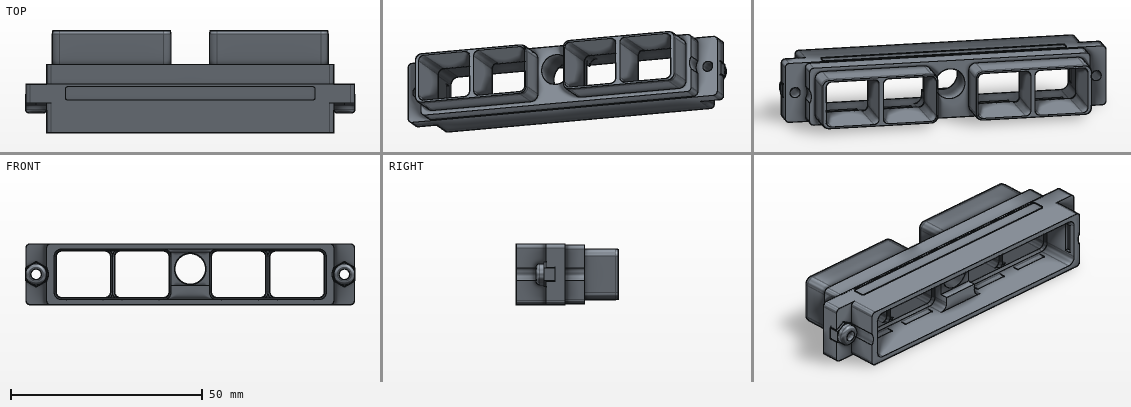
import math

import cadquery as cq

BODY_WIDTH = 75.0
BODY_HEIGHT = 15.93
BODY_FILLET = 1.1
REAR_BODY_HEIGHT = 15.4
FLANGE_WIDTH = 85.8
FLANGE_FRONT_Y = 7.8
FLANGE_BACK_Y = 12.76
REAR_BODY_BACK_Y = 17.9
BACK_Y = 26.69

CELL_PITCH = 15.27
CELL_HEIGHT = 12.1
CELL_RADIUS = 1.4
CELL_DRAFT = 0.12
LEAD_IN = 0.45
LEAD_IN_FRONT_Y = 10.2
LEAD_IN_BACK_Y = 11.1
DIVIDER_TAPER_LENGTH = 0.9
PAIR_INNER_X = 5.0
SLEEVE_INNER_X = 5.02
SLEEVE_OUTER_X = 36.05
SLEEVE_HEIGHT = 13.35
SLEEVE_RADIUS = 1.9
SLEEVE_TIP_LENGTH = 0.8
SLEEVE_TIP_TAPER = 0.15

CENTRE_BLOCK_FRONT_Y = 5.8
CENTRE_PLATE_FRONT_Y = 8.0
CENTRE_POCKET_BOTTOM_Z = -2.94
CENTRE_POCKET_TOP_Z = 5.8
CENTRE_HOLE_Z = 1.42
CENTRE_HOLE_FRONT_RADIUS = 4.12
CENTRE_HOLE_BACK_RADIUS = 4.0

RAMP_WIDTH = 9.6
RAMP_PITCH = 14.5
RAMP_FRONT_Y = 7.8
RAMP_BACK_Y = 9.5
RAMP_DEPTH = 0.35
END_SLOT_FRONT_Y = 1.6
END_SLOT_BACK_Y = 3.35
END_SLOT_HEIGHT = 8.2
END_SLOT_DEPTH = 0.95

LABEL_WIDTH = 65.2
LABEL_FRONT_Y = 8.6
LABEL_BACK_Y = 12.07
LABEL_RADIUS = 0.6
LABEL_DEPTH = 0.2

NUT_X = 40.25
NUT_ACROSS_FLATS = 5.5
NUT_POCKET_ACROSS_FLATS = 5.8
NUT_SEAT_Y = 10.1
NUT_HEX_FRONT_Y = 7.25
NUT_FRONT_Y = 5.2
NUT_COLLAR_RADIUS = 2.75
NUT_COLLAR_FILLET = 0.95
NUT_BORE_RADIUS = 1.35
DRIVER_GROOVE_RADIUS = 3.22

CELL_MARGIN = LEAD_IN + CELL_DRAFT
CELL_WIDTH = CELL_PITCH - 2 * CELL_MARGIN
CAVITY_HEIGHT = CELL_HEIGHT + 2 * CELL_MARGIN
CAVITY_RADIUS = CELL_RADIUS + CELL_MARGIN
PAIR_WIDTH = 2 * CELL_PITCH
PAIR_CENTRE_X = PAIR_INNER_X + CELL_PITCH
CAVITY_HALF_WIDTH = PAIR_INNER_X + PAIR_WIDTH
SIDES = (-1, 1)
PAIR_CENTRES = [side * PAIR_CENTRE_X for side in SIDES]


def centres_in_pairs(pitch):
    """X positions of two features per pair of cells, the given pitch apart."""
    return [pair_x + side * pitch / 2 for pair_x in PAIR_CENTRES for side in SIDES]


def xz_plane(y):
    """Sketch plane at the given Y, with X right, Z up and its normal towards -Y."""
    return cq.Workplane("XZ", origin=(0, y, 0))


def rounded_bar(x, width, height, radius, front_y, back_y):
    """Bar along Y, centred at X = x and Z = 0, with its four long edges rounded."""
    bar = xz_plane(front_y).center(x, 0).rect(width, height).extrude(front_y - back_y)
    return bar.edges("|Y").fillet(radius)


def box(x_limits, y_limits, z_limits):
    """Axis-aligned box between the given limits."""
    sizes = [high - low for low, high in (x_limits, y_limits, z_limits)]
    corner = (x_limits[0], y_limits[0], z_limits[0])
    return cq.Workplane("XY").box(*sizes, centered=False).translate(corner)


def cylinder(x, z, radius, front_y, back_y):
    """Cylinder along Y."""
    return xz_plane(front_y).center(x, z).circle(radius).extrude(front_y - back_y)


def hexagon(x, across_flats, front_y, back_y):
    """Hexagonal bar along Y with two corners pointing up and down."""
    diameter = across_flats / math.cos(math.pi / 6)
    bar = cq.Workplane("XY").polygon(6, diameter).extrude(back_y - front_y)
    bar = bar.rotate((0, 0, 0), (0, 0, 1), 90).rotate((0, 0, 0), (1, 0, 0), -90)
    return bar.translate((x, front_y, 0))


def tapered_bar(x, front_size, radius, inset, front_y, back_y):
    """Rounded bar along Y whose sides and corner radius shrink by the inset towards the back."""
    profile = cq.Sketch().rect(*front_size).vertices().fillet(radius)
    taper = math.degrees(math.atan2(inset, back_y - front_y))
    return xz_plane(front_y).center(x, 0).placeSketch(profile).extrude(front_y - back_y, taper=taper)


def sleeve(centre_x):
    """Rounded sleeve around one pair of cells, slightly tapered at its tip."""
    width = SLEEVE_OUTER_X - SLEEVE_INNER_X
    solid = rounded_bar(centre_x, width, SLEEVE_HEIGHT, SLEEVE_RADIUS, FLANGE_BACK_Y, BACK_Y)
    return solid.faces(">Y").chamfer(SLEEVE_TIP_LENGTH, SLEEVE_TIP_TAPER)


def shell_blank():
    """Solid outline of the housing: front body, flange, rear body and two sleeves."""
    blank = rounded_bar(0, BODY_WIDTH, BODY_HEIGHT, BODY_FILLET, 0, FLANGE_BACK_Y)
    flange = rounded_bar(0, FLANGE_WIDTH, BODY_HEIGHT, BODY_FILLET, FLANGE_FRONT_Y, FLANGE_BACK_Y)
    rear = rounded_bar(0, BODY_WIDTH, REAR_BODY_HEIGHT, BODY_FILLET, FLANGE_FRONT_Y, REAR_BODY_BACK_Y)
    blank = blank.union(flange).union(rear)
    sleeve_x = (SLEEVE_INNER_X + SLEEVE_OUTER_X) / 2
    for side in SIDES:
        blank = blank.union(sleeve(side * sleeve_x))
    return blank


def cut_cell(shell, pair_x, cell_x):
    """Drafted through cell; its side towards the divider opens out so the divider ends in a ridge."""
    throat_height = CELL_HEIGHT + 2 * CELL_DRAFT
    throat_radius = CELL_RADIUS + CELL_DRAFT
    throat_size = (CELL_WIDTH + 2 * CELL_DRAFT, throat_height)
    throat = tapered_bar(cell_x, throat_size, throat_radius, CELL_DRAFT, LEAD_IN_BACK_Y, BACK_Y)

    pair_size = (PAIR_WIDTH - 2 * LEAD_IN, throat_height)
    pair_limit = tapered_bar(pair_x, pair_size, throat_radius, CELL_DRAFT, LEAD_IN_BACK_Y, BACK_Y)
    mouth_size = (CELL_PITCH, CAVITY_HEIGHT)
    mouth_back_y = LEAD_IN_BACK_Y + DIVIDER_TAPER_LENGTH
    mouth = tapered_bar(cell_x, mouth_size, CAVITY_RADIUS, LEAD_IN, LEAD_IN_BACK_Y, mouth_back_y)
    return shell.cut(throat).cut(mouth.intersect(pair_limit))


def cut_cavities(shell):
    """Front cavity, then one cavity with a tapered lead-in per pair, then four through cells."""
    shell = shell.cut(
        rounded_bar(0, 2 * CAVITY_HALF_WIDTH, CAVITY_HEIGHT, CAVITY_RADIUS, 0, CENTRE_BLOCK_FRONT_Y)
    )
    for x in PAIR_CENTRES:
        shell = shell.cut(rounded_bar(x, PAIR_WIDTH, CAVITY_HEIGHT, CAVITY_RADIUS, 0, LEAD_IN_FRONT_Y))
        shell = shell.cut(
            tapered_bar(
                x, (PAIR_WIDTH, CAVITY_HEIGHT), CAVITY_RADIUS, LEAD_IN, LEAD_IN_FRONT_Y, LEAD_IN_BACK_Y
            )
        )
        shell = cut_cell(shell, x, x - CELL_PITCH / 2)
        shell = cut_cell(shell, x, x + CELL_PITCH / 2)
    return shell


def cut_centre_block(shell):
    """Pocket open to the front and a slightly conical through hole."""
    pocket = box(
        (-PAIR_INNER_X, PAIR_INNER_X),
        (0, CENTRE_PLATE_FRONT_Y),
        (CENTRE_POCKET_BOTTOM_Z, CENTRE_POCKET_TOP_Z),
    )
    depth = REAR_BODY_BACK_Y - CENTRE_PLATE_FRONT_Y
    hole = cq.Solid.makeCone(
        CENTRE_HOLE_FRONT_RADIUS,
        CENTRE_HOLE_BACK_RADIUS,
        depth,
        cq.Vector(0, CENTRE_PLATE_FRONT_Y, CENTRE_HOLE_Z),
        cq.Vector(0, 1, 0),
    )
    return shell.cut(pocket).cut(cq.Workplane(obj=hole))


def cut_latches(shell):
    """Wedge recesses in the cavity floor and a slot in each cavity end wall."""
    floor_z = -CAVITY_HEIGHT / 2
    ramp_profile = [
        (RAMP_FRONT_Y, floor_z),
        (RAMP_BACK_Y, floor_z),
        (RAMP_FRONT_Y, floor_z - RAMP_DEPTH),
    ]
    for x in centres_in_pairs(RAMP_PITCH):
        start = cq.Workplane("YZ", origin=(x - RAMP_WIDTH / 2, 0, 0))
        shell = shell.cut(start.polyline(ramp_profile).close().extrude(RAMP_WIDTH))
    slot_half_width = CAVITY_HALF_WIDTH + END_SLOT_DEPTH
    return shell.cut(
        box(
            (-slot_half_width, slot_half_width),
            (END_SLOT_FRONT_Y, END_SLOT_BACK_Y),
            (-END_SLOT_HEIGHT / 2, END_SLOT_HEIGHT / 2),
        )
    )


def cut_label(shell):
    """Shallow rounded recess in the top face."""
    top_z = BODY_HEIGHT / 2
    label = box(
        (-LABEL_WIDTH / 2, LABEL_WIDTH / 2),
        (LABEL_FRONT_Y, LABEL_BACK_Y),
        (top_z - LABEL_DEPTH, top_z),
    )
    return shell.cut(label.edges("|Z").fillet(LABEL_RADIUS))


def nut(x):
    """Hexagonal nut with a rounded collar in front."""
    collar = cylinder(x, 0, NUT_COLLAR_RADIUS, NUT_FRONT_Y, NUT_SEAT_Y)
    collar = collar.faces("<Y").edges().fillet(NUT_COLLAR_FILLET)
    return hexagon(x, NUT_ACROSS_FLATS, NUT_HEX_FRONT_Y, NUT_SEAT_Y).union(collar)


def add_nut(shell, x):
    """Driver groove along the body side, nut pocket, nut and its bore through the ear."""
    shell = shell.cut(cylinder(x, 0, DRIVER_GROOVE_RADIUS, 0, FLANGE_FRONT_Y))
    shell = shell.cut(cylinder(x, 0, DRIVER_GROOVE_RADIUS, FLANGE_BACK_Y, REAR_BODY_BACK_Y))
    shell = shell.cut(hexagon(x, NUT_POCKET_ACROSS_FLATS, FLANGE_FRONT_Y, NUT_SEAT_Y))
    shell = shell.union(nut(x))
    return shell.cut(cylinder(x, 0, NUT_BORE_RADIUS, NUT_FRONT_Y, FLANGE_BACK_Y))


housing = shell_blank()
housing = cut_cavities(housing)
housing = cut_centre_block(housing)
housing = cut_latches(housing)
housing = cut_label(housing)
for ear_side in SIDES:
    housing = add_nut(housing, ear_side * NUT_X)

result = housing